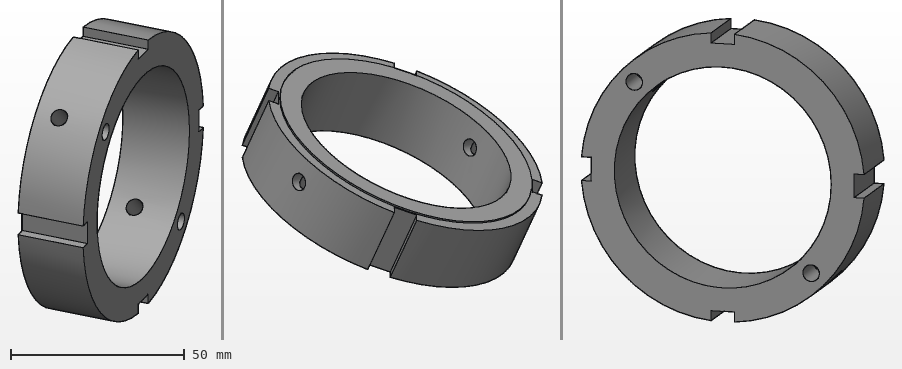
import cadquery as cq
import math

overall_size = 84.7
length = 21.0
bore_diameter = 65.0
face_diameter = 78.0
face_height = 0.5

slot_width = 6.95
slot_floor_radius = 39.4
slot_count = 4

hole_diameter = 5.0
hole_from_face = 8.0
hole_tilt = 45.0

axial_hole_diameter = 4.9

outer_radius = math.hypot(overall_size / 2, slot_width / 2)


def make_ring():
    """Plain ring with a low raised face at its -X end."""
    raised_face = cq.Workplane("YZ").circle(face_diameter / 2).extrude(length)
    body = (
        cq.Workplane("YZ")
        .workplane(offset=face_height)
        .circle(outer_radius)
        .extrude(length - face_height)
    )
    bore = cq.Workplane("YZ").circle(bore_diameter / 2).extrude(length)
    return body.union(raised_face).cut(bore)


def cut_slots(ring):
    """Cut equally spaced slots along the full length of the rim."""
    slot = cq.Workplane("XY").box(
        length, slot_width, outer_radius, centered=(False, True, False)
    ).translate((0, 0, slot_floor_radius))
    for index in range(slot_count):
        angle = index * 360 / slot_count
        ring = ring.cut(slot.rotate((0, 0, 0), (1, 0, 0), angle))
    return ring


def cut_radial_holes(ring):
    """Drill straight across the ring, through the wall at -Y+Z and at +Y-Z."""
    drill = (
        cq.Workplane("XY")
        .center(hole_from_face, 0)
        .circle(hole_diameter / 2)
        .extrude(outer_radius, both=True)
        .rotate((0, 0, 0), (1, 0, 0), hole_tilt)
    )
    return ring.cut(drill)


def cut_axial_holes(ring):
    """Drill from the +X end, mid-wall, as far as the axis of each radial hole."""
    mid_wall_radius = (bore_diameter / 2 + outer_radius) / 2
    for side in (1, -1):
        drill = (
            cq.Workplane("YZ")
            .workplane(offset=hole_from_face)
            .center(0, side * mid_wall_radius)
            .circle(axial_hole_diameter / 2)
            .extrude(length - hole_from_face)
            .rotate((0, 0, 0), (1, 0, 0), hole_tilt)
        )
        ring = ring.cut(drill)
    return ring


slotted_ring = cut_slots(make_ring())
result = cut_axial_holes(cut_radial_holes(slotted_ring))